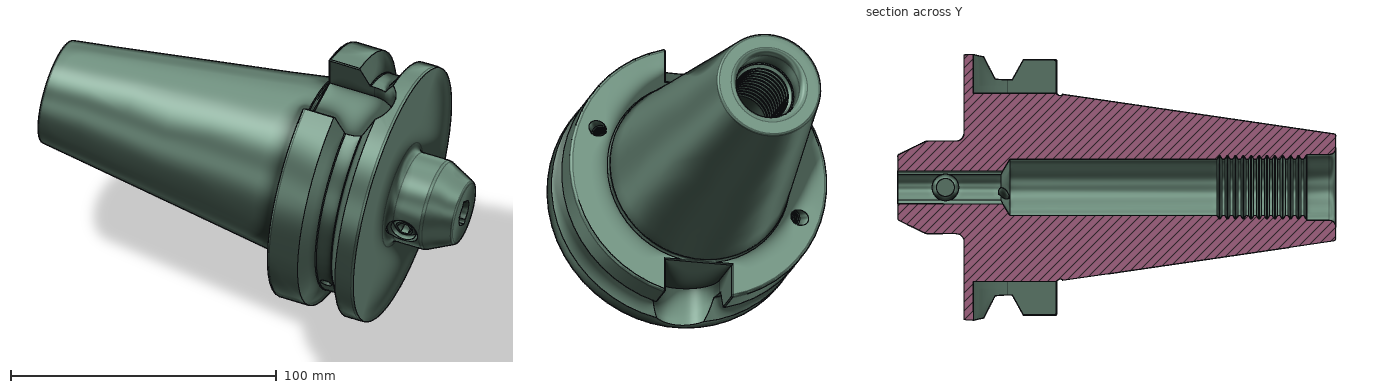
import cadquery as cq
import math


THREAD_FLANK_ANGLE = 30
THREAD_ROOT_SHARE = 1 / 8

GAUGE_RADIUS = 35.0
TAPER_LENGTH = 101.8
TAPER_RATIO = 7 / 24
SMALL_END_RADIUS = GAUGE_RADIUS - TAPER_LENGTH * TAPER_RATIO / 2
SMALL_END_FILLET = 0.8

UNDERCUT_START = 1.0
UNDERCUT_DEPTH = 0.3
UNDERCUT_ROOT_RADIUS = 1.0

FLANGE_RADIUS = 100.0 / 2
FLANGE_BACK = 3.0
FLANGE_FRONT = 38.0
FLANGE_BACK_FILLET = 1.0
FLANGE_RELIEF_LENGTH = 1.0
FLANGE_RELIEF_HEIGHT = 0.2
GROOVE_RADIUS = 42.5
GROOVE_CENTRE = 23.0
GROOVE_FLOOR_WIDTH = 6.5
GROOVE_WALL_ANGLE = 30
GROOVE_CORNER_RADIUS = 0.5

SLOT_WIDTH = 25.7
SLOT_FLOOR = 35.5
SLOT_END = 34.5
SLOT_CHAMFER = 0.5

NOSE_RADIUS = 17.5
NOSE_END = 63.0
NOSE_ROOT_FILLET = 3.0
NOSE_CONE_START = 52.2
NOSE_CONE_ANGLE = 26
NOSE_EDGE_FILLET = 1.0
NOSE_SHOULDER_FILLET = 2.6

ENTRY_RADIUS = 12.4
ENTRY_FILLET = 2.5
ENTRY_DEPTH = 10.9
TAPPED_BORE_RADIUS = 10.5
TOOL_BORE_RADIUS = 5.0
DRILL_TIP_START = 20.8
DRILL_TIP_ANGLE = 59
DRAWBAR_THREAD_RADIUS = 11.9
DRAWBAR_THREAD_PITCH = 3.0
DRAWBAR_THREAD_TURNS = 12

TOOL_GROOVE_RADIUS = 1.2
CROSS_HOLE_DIAMETER = 4.0
PLUG_SEAT_DIAMETER = 4.5
PLUG_SEAT_DEPTH = 5.5
CROSS_HOLE_TURN = 20
FEED_SEAT_RADIUS = 3.0
FEED_HOLE_RADIUS = 41.9
FEED_HOLE_TILT = 30
FEED_DRILL_RADIUS = 2.5
FEED_SEAT_DEPTH = 3.1
FEED_THREAD_PITCH = 1.0
FEED_THREAD_TURNS = 6

SCREW_X = 45.0
SCREW_DIAMETER = 10.0
SCREW_CHAMFER = 1.6
SCREW_TOP = 15.5
SCREW_HOLE_COUNTERSINK_DIAMETER = 12.4
HEX_ACROSS_FLATS = 5.0
HEX_DEPTH = 5.0
HEX_TURN = 30

MATCH_TOLERANCE = 0.02


def tan(degrees):
    return math.tan(math.radians(degrees))


def revolve_about_x(sketch):
    return sketch.close().revolve(360, (0, 0, 0), (1, 0, 0))


def circle_at(shape, x, radius):
    """The circular edge of a turned shape at a given X and radius."""

    def matches(edge):
        return (
            edge.geomType() == "CIRCLE"
            and abs(edge.Center().x - x) < MATCH_TOLERANCE
            and abs(edge.radius() - radius) < MATCH_TOLERANCE
        )

    return shape.edges().filter(matches)


def blank():
    """Taper, undercut, grooved flange and nose as one turned shape."""
    groove_wall = (FLANGE_RADIUS - GROOVE_RADIUS) * tan(GROOVE_WALL_ANGLE)
    floor_back = GROOVE_CENTRE - GROOVE_FLOOR_WIDTH / 2
    floor_front = GROOVE_CENTRE + GROOVE_FLOOR_WIDTH / 2
    nose_tip_radius = NOSE_RADIUS - (NOSE_END - NOSE_CONE_START) * tan(NOSE_CONE_ANGLE)
    floor_radius = GAUGE_RADIUS - UNDERCUT_DEPTH

    taper = revolve_about_x(
        cq.Workplane("XZ")
        .moveTo(-TAPER_LENGTH, 0)
        .lineTo(-TAPER_LENGTH, SMALL_END_RADIUS)
        .lineTo(UNDERCUT_START, GAUGE_RADIUS + UNDERCUT_START * TAPER_RATIO / 2)
        .lineTo(UNDERCUT_START + UNDERCUT_DEPTH, floor_radius)
        .lineTo(FLANGE_BACK - UNDERCUT_ROOT_RADIUS, floor_radius)
        .radiusArc((FLANGE_BACK, floor_radius + UNDERCUT_ROOT_RADIUS), -UNDERCUT_ROOT_RADIUS)
        .lineTo(FLANGE_BACK, 0)
    )
    taper = taper.faces("<X").edges().fillet(SMALL_END_FILLET)

    flange = revolve_about_x(
        cq.Workplane("XZ")
        .moveTo(FLANGE_BACK, 0)
        .lineTo(FLANGE_BACK, FLANGE_RADIUS)
        .lineTo(floor_back - groove_wall, FLANGE_RADIUS)
        .lineTo(floor_back, GROOVE_RADIUS)
        .lineTo(floor_front, GROOVE_RADIUS)
        .lineTo(floor_front + groove_wall, FLANGE_RADIUS)
        .lineTo(FLANGE_FRONT - FLANGE_RELIEF_LENGTH, FLANGE_RADIUS)
        .lineTo(FLANGE_FRONT, FLANGE_RADIUS - FLANGE_RELIEF_HEIGHT)
        .lineTo(FLANGE_FRONT, NOSE_RADIUS)
        .lineTo(NOSE_CONE_START, NOSE_RADIUS)
        .lineTo(NOSE_END, nose_tip_radius)
        .lineTo(NOSE_END, 0)
    )

    flange = circle_at(flange, FLANGE_BACK, FLANGE_RADIUS).fillet(FLANGE_BACK_FILLET)
    for x in (floor_back, floor_front):
        flange = circle_at(flange, x, GROOVE_RADIUS).fillet(GROOVE_CORNER_RADIUS)
    flange = circle_at(flange, FLANGE_FRONT, NOSE_RADIUS).fillet(NOSE_ROOT_FILLET)
    flange = circle_at(flange, NOSE_CONE_START, NOSE_RADIUS).fillet(NOSE_SHOULDER_FILLET)
    flange = circle_at(flange, NOSE_END, nose_tip_radius).fillet(NOSE_EDGE_FILLET)
    return taper.union(flange)


def drive_slot():
    """Slot at the top of the flange, open at the back and rounded at its front end."""
    half_width = SLOT_WIDTH / 2
    arc_start = SLOT_END - half_width
    return (
        cq.Workplane("XY", origin=(0, 0, SLOT_FLOOR))
        .moveTo(0, -half_width)
        .lineTo(arc_start, -half_width)
        .threePointArc((SLOT_END, 0), (arc_start, half_width))
        .lineTo(0, half_width)
        .close()
        .extrude(FLANGE_RADIUS)
    )


def is_slot_rim(edge):
    """Straight edges where a drive slot meets the back face and the rim behind the groove."""
    centre = edge.Center()
    half_width = SLOT_WIDTH / 2
    rim_height = math.sqrt(FLANGE_RADIUS**2 - half_width**2)
    if edge.geomType() != "LINE" or abs(centre.y) > half_width + MATCH_TOLERANCE:
        return False
    on_back_face = abs(centre.x - FLANGE_BACK) < MATCH_TOLERANCE
    on_rim = (
        abs(abs(centre.z) - rim_height) < MATCH_TOLERANCE
        and FLANGE_BACK < centre.x < GROOVE_CENTRE
    )
    return on_back_face or on_rim


def thread(start, minor_radius, major_radius, pitch, turns):
    """Core of a tapped hole along X, with a ring groove in place of each turn."""
    flank = (major_radius - minor_radius) * tan(THREAD_FLANK_ANGLE)
    root = pitch * THREAD_ROOT_SHARE
    outline = cq.Workplane("XZ").moveTo(start, 0).lineTo(start, major_radius)
    for turn in range(turns):
        x = start + turn * pitch
        outline = (
            outline.lineTo(x + root, major_radius)
            .lineTo(x + root + flank, minor_radius)
            .lineTo(x + pitch - flank, minor_radius)
        )
        if turn < turns - 1:
            outline = outline.lineTo(x + pitch, major_radius)
    return revolve_about_x(outline.lineTo(start + turns * pitch - flank, 0))


def axial_bore():
    """Rounded entry, tapped bore, drill tip and tool bore, with two coolant grooves along it."""
    entry_x = -TAPER_LENGTH
    step_x = entry_x + ENTRY_DEPTH
    tip_length = (TAPPED_BORE_RADIUS - TOOL_BORE_RADIUS) / tan(DRILL_TIP_ANGLE)
    bore = revolve_about_x(
        cq.Workplane("XZ")
        .moveTo(entry_x, 0)
        .lineTo(entry_x, ENTRY_RADIUS + ENTRY_FILLET)
        .radiusArc((entry_x + ENTRY_FILLET, ENTRY_RADIUS), -ENTRY_FILLET)
        .lineTo(step_x, ENTRY_RADIUS)
        .lineTo(step_x, TAPPED_BORE_RADIUS)
        .lineTo(DRILL_TIP_START, TAPPED_BORE_RADIUS)
        .lineTo(DRILL_TIP_START + tip_length, TOOL_BORE_RADIUS)
        .lineTo(NOSE_END, TOOL_BORE_RADIUS)
        .lineTo(NOSE_END, 0)
    )
    grooves = (
        cq.Workplane("YZ", origin=(DRILL_TIP_START, 0, 0))
        .pushPoints([(0, TOOL_BORE_RADIUS), (0, -TOOL_BORE_RADIUS)])
        .circle(TOOL_GROOVE_RADIUS)
        .extrude(NOSE_END - DRILL_TIP_START)
    )
    drawbar_thread = thread(
        step_x,
        TAPPED_BORE_RADIUS,
        DRAWBAR_THREAD_RADIUS,
        DRAWBAR_THREAD_PITCH,
        DRAWBAR_THREAD_TURNS,
    )
    return bore.union(drawbar_thread).union(grooves)


def feed_hole():
    """Stepped and tapped hole from the back of the flange, slanting inward to the cross hole."""
    length = (GROOVE_CENTRE - FLANGE_BACK) / math.cos(math.radians(FEED_HOLE_TILT))
    overrun = FEED_SEAT_RADIUS * tan(FEED_HOLE_TILT)
    hole = revolve_about_x(
        cq.Workplane("XZ")
        .moveTo(-overrun, 0)
        .lineTo(-overrun, FEED_SEAT_RADIUS)
        .lineTo(FEED_SEAT_DEPTH, FEED_SEAT_RADIUS)
        .lineTo(FEED_SEAT_DEPTH, FEED_DRILL_RADIUS)
        .lineTo(length, FEED_DRILL_RADIUS)
        .lineTo(length, 0)
    )
    hole = hole.union(
        thread(
            FEED_SEAT_DEPTH,
            FEED_DRILL_RADIUS,
            FEED_SEAT_RADIUS,
            FEED_THREAD_PITCH,
            FEED_THREAD_TURNS,
        )
    )
    hole = hole.rotate((0, 0, 0), (0, 0, 1), -FEED_HOLE_TILT)
    return hole.translate((FLANGE_BACK, FEED_HOLE_RADIUS, 0))


def coolant_passage():
    """Radial hole from the groove to the bore, and the slanted hole that feeds it from the flange."""
    cross = cq.Solid.makeCylinder(
        CROSS_HOLE_DIAMETER / 2, FLANGE_RADIUS, cq.Vector(GROOVE_CENTRE, 0, 0), cq.Vector(0, 1, 0)
    )
    seat = cq.Solid.makeCylinder(
        PLUG_SEAT_DIAMETER / 2,
        FLANGE_RADIUS,
        cq.Vector(GROOVE_CENTRE, GROOVE_RADIUS - PLUG_SEAT_DEPTH, 0),
        cq.Vector(0, 1, 0),
    )
    return (
        cq.Workplane(cross)
        .union(cq.Workplane(seat))
        .union(feed_hole())
        .rotate((0, 0, 0), (1, 0, 0), CROSS_HOLE_TURN)
    )


def screw_cylinder(radius, bottom, top):
    """Solid cylinder on the screw axis, between two distances from the spindle axis."""
    return (
        cq.Workplane("XZ", origin=(SCREW_X, -bottom, 0)).circle(radius).extrude(top - bottom)
    )


def screw_hole():
    """Hole in the -Y side of the nose, with a 45 degree countersink."""
    hole_radius = SCREW_DIAMETER / 2
    sink_radius = SCREW_HOLE_COUNTERSINK_DIAMETER / 2
    countersink = cq.Solid.makeCone(
        sink_radius,
        hole_radius,
        sink_radius - hole_radius,
        cq.Vector(SCREW_X, -NOSE_RADIUS, 0),
        cq.Vector(0, 1, 0),
    )
    hole = screw_cylinder(hole_radius, 0, NOSE_RADIUS)
    outside = screw_cylinder(sink_radius, NOSE_RADIUS, NOSE_RADIUS + NOSE_ROOT_FILLET)
    return hole.union(cq.Workplane(countersink)).union(outside)


def make_holder():
    body = blank().cut(axial_bore()).cut(screw_hole())
    slot = drive_slot()
    passage = coolant_passage()
    for turn in (0, 180):
        body = body.cut(slot.rotate((0, 0, 0), (1, 0, 0), turn))
        body = body.cut(passage.rotate((0, 0, 0), (1, 0, 0), turn))
    return body.edges().filter(is_slot_rim).chamfer(SLOT_CHAMFER)


def make_clamping_screw():
    """Headless screw with a hexagon socket, ending at the wall of the tool bore."""
    screw = screw_cylinder(SCREW_DIAMETER / 2, TOOL_BORE_RADIUS, SCREW_TOP)
    screw = screw.faces("<Y or >Y").edges().chamfer(SCREW_CHAMFER)
    socket = (
        cq.Workplane("XZ", origin=(SCREW_X, -SCREW_TOP + HEX_DEPTH, 0))
        .transformed(rotate=(0, 0, HEX_TURN))
        .polygon(6, HEX_ACROSS_FLATS, circumscribed=True)
        .extrude(HEX_DEPTH)
    )
    return screw.cut(socket)


holder = make_holder()
clamping_screw = make_clamping_screw()

result = cq.Compound.makeCompound([holder.val(), clamping_screw.val()])